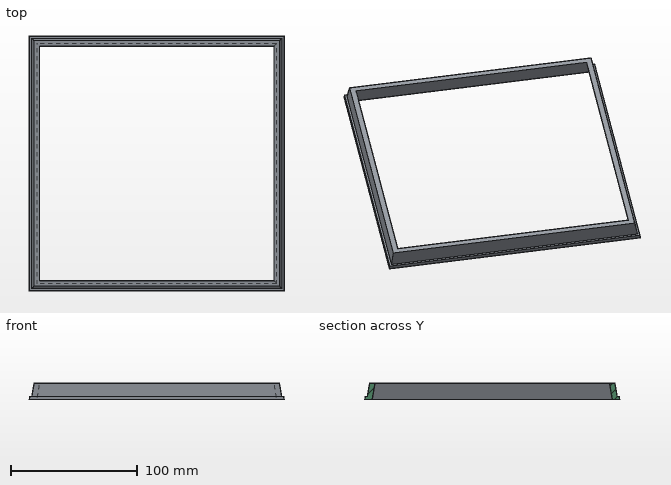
import cadquery as cq

outer_side = 201.0
total_height = 13.0
flange_height = 2.6
flange_edge_inset = 0.5
wall_base_inset = 2.0
wall_top_inset = 3.8
wall_thickness = 4.5

wall_height = total_height - flange_height
wall_slope = (wall_top_inset - wall_base_inset) / wall_height
opening_top_inset = wall_top_inset + wall_thickness
opening_base_inset = opening_top_inset - wall_slope * total_height


def tapered_square(base_inset, top_inset, base_z, height):
    """Square block whose four sides lean inward from base to top."""
    return (
        cq.Workplane("XY")
        .workplane(offset=base_z)
        .rect(outer_side - 2 * base_inset, outer_side - 2 * base_inset)
        .workplane(offset=height)
        .rect(outer_side - 2 * top_inset, outer_side - 2 * top_inset)
        .loft(ruled=True)
    )


flange = tapered_square(0, flange_edge_inset, 0, flange_height)
wall = tapered_square(wall_base_inset, wall_top_inset, flange_height, wall_height)

opening = tapered_square(opening_base_inset, opening_top_inset, 0, total_height)

result = flange.union(wall).cut(opening)